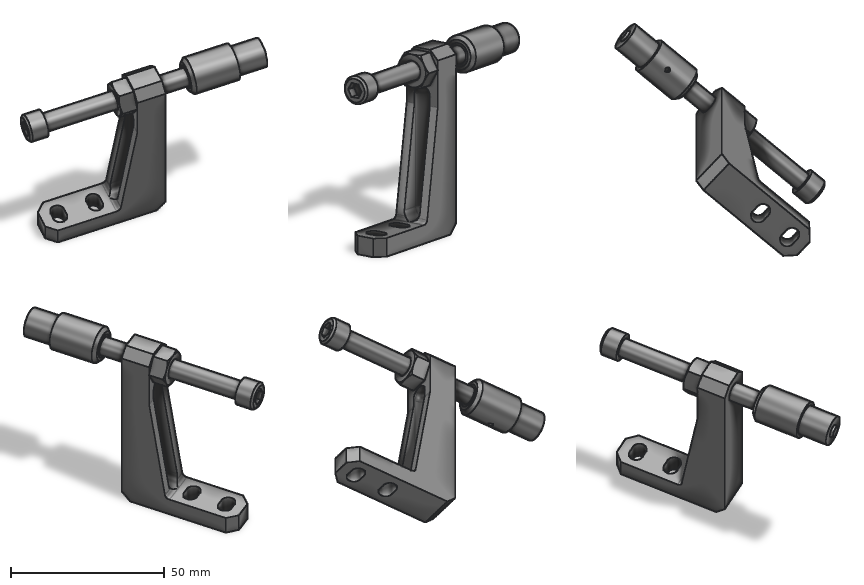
import cadquery as cq
import math


FLATS_OVER_CORNERS = math.cos(math.pi / 6)

WIDTH = 12.7
BRACKET_HEIGHT = 63.5
ARM_THICKNESS = 10.05
FOOT_LENGTH = 41.3
FOOT_THICKNESS = WIDTH / 2
CORNER_CHAMFER = WIDTH / 4
TAPER_DROP = 19.0
TAPER_FOOT_Y = -16.05
INNER_FILLET = 1.6
GROOVE_WIDTH = WIDTH / 2
GROOVE_FLOOR_Y = -6.3
GROOVE_TOP_Z = 50.8
SLOT_LENGTH = 7.1
SLOT_WIDTH = 4.7
SLOT_COUNT = 2
SLOT_PITCH = 12.7
FIRST_SLOT_Y = -22.55

SCREW_AXIS_DROP = 6.4
SCREW_AXIS_Z = BRACKET_HEIGHT - SCREW_AXIS_DROP
SHANK_RADIUS = WIDTH / 4
HEAD_RADIUS = 4.7
HEAD_HEIGHT = 6.3
HEAD_END_Y = -47.05
HEAD_CHAMFER = 0.8
SOCKET_FLATS = 4.7
SOCKET_DEPTH = 3.2

NUT_FLATS = 11.15
NUT_CORNERS = NUT_FLATS / FLATS_OVER_CORNERS
NUT_HEIGHT = 5.6
NUT_BORE_RADIUS = 3.4
NUT_CHAMFER_ANGLE = math.radians(30)

SLEEVE_START_Y = 9.7
SLEEVE_LENGTH = 16.65
SLEEVE_RADIUS = WIDTH / 2
SLEEVE_CHAMFER = 1.3
BUSHING_RADIUS = 4.0
SIDE_HOLE_RADIUS = 0.85
SIDE_HOLE_Y = 19.9
SIDE_HOLE_TILT = 19
TIP_RADIUS = 5.1
TIP_LENGTH = 10.1
NOSE_BASE_RADIUS = 2.2
NOSE_END_RADIUS = 1.8
NOSE_HEIGHT = 0.9
SLEEVE_END_Y = SLEEVE_START_Y + SLEEVE_LENGTH
TIP_END_Y = SLEEVE_END_Y + TIP_LENGTH


def axis_plane(y):
    """Plane across the screw axis at the given Y; extrusion runs toward +Y."""
    return cq.Workplane(cq.Plane((0, y, SCREW_AXIS_Z), xDir=(1, 0, 0), normal=(0, 1, 0)))


def rod(y_start, length, radius):
    return axis_plane(y_start).circle(radius).extrude(length)


def hexagon(y_start, length, flats):
    """Hexagonal bar with two corners pointing along X."""
    return axis_plane(y_start).polygon(6, flats / FLATS_OVER_CORNERS).extrude(length)


def make_groove():
    """Ball-ended groove up the front of the arm, with a half-round floor."""
    radius = GROOVE_WIDTH / 2
    center_y = GROOVE_FLOOR_Y - radius
    bottom = FOOT_THICKNESS + radius
    top = GROOVE_TOP_Z - radius
    floor = cq.Workplane("XY", origin=(0, center_y, bottom)).circle(radius).extrude(top - bottom)
    opening = (
        cq.Workplane("XZ", origin=(0, center_y, (bottom + top) / 2))
        .slot2D(top - bottom + 2 * radius, 2 * radius, angle=90)
        .extrude(FOOT_LENGTH)
    )
    groove = floor.union(opening)
    for z in (bottom, top):
        groove = groove.union(cq.Workplane("XY", origin=(0, center_y, z)).sphere(radius))
    return groove


def make_bracket():
    profile = [
        (0, 0),
        (0, BRACKET_HEIGHT),
        (-ARM_THICKNESS, BRACKET_HEIGHT),
        (-ARM_THICKNESS, BRACKET_HEIGHT - TAPER_DROP),
        (TAPER_FOOT_Y, FOOT_THICKNESS),
        (-FOOT_LENGTH, FOOT_THICKNESS),
        (-FOOT_LENGTH, 0),
    ]
    bracket = cq.Workplane("YZ").polyline(profile).close().extrude(WIDTH / 2, both=True)
    inner_corner = cq.selectors.NearestToPointSelector((0, TAPER_FOOT_Y, FOOT_THICKNESS))
    bracket = bracket.edges(inner_corner).fillet(INNER_FILLET)
    bracket = bracket.edges("<Z and >Y").chamfer(CORNER_CHAMFER)
    bracket = bracket.edges("<Y and |Z").chamfer(CORNER_CHAMFER)
    bracket = bracket.faces(">Z").edges("|Y").chamfer(CORNER_CHAMFER)

    slots = (
        cq.Workplane("XY")
        .pushPoints([(0, FIRST_SLOT_Y - i * SLOT_PITCH) for i in range(SLOT_COUNT)])
        .slot2D(SLOT_LENGTH, SLOT_WIDTH)
        .extrude(FOOT_THICKNESS)
    )
    screw_hole = rod(-ARM_THICKNESS, ARM_THICKNESS, SHANK_RADIUS)
    return bracket.cut(make_groove()).cut(slots).cut(screw_hole)


def make_screw():
    head = rod(HEAD_END_Y, HEAD_HEIGHT, HEAD_RADIUS).faces("<Y").edges().chamfer(HEAD_CHAMFER)
    head = head.cut(hexagon(HEAD_END_Y, SOCKET_DEPTH, SOCKET_FLATS))
    shank_start = HEAD_END_Y + HEAD_HEIGHT
    return head.union(rod(shank_start, SLEEVE_END_Y - shank_start, SHANK_RADIUS))


def make_nut():
    """Lock nut against the arm, its corners chamfered on the side facing the screw head."""
    front_y = -ARM_THICKNESS - NUT_HEIGHT
    corner_excess = (NUT_CORNERS - NUT_FLATS) / 2
    chamfer_envelope = (
        rod(front_y, NUT_HEIGHT, NUT_CORNERS / 2)
        .faces("<Y")
        .edges()
        .chamfer(corner_excess * math.tan(NUT_CHAMFER_ANGLE), corner_excess)
    )
    nut = hexagon(front_y, NUT_HEIGHT, NUT_FLATS).intersect(chamfer_envelope)
    return nut.cut(rod(front_y, NUT_HEIGHT, NUT_BORE_RADIUS))


def make_sleeve():
    sleeve = rod(SLEEVE_START_Y, SLEEVE_LENGTH, SLEEVE_RADIUS)
    sleeve = sleeve.faces("<Y").edges().chamfer(SLEEVE_CHAMFER)
    sleeve = sleeve.cut(rod(SLEEVE_START_Y, SLEEVE_LENGTH, BUSHING_RADIUS))
    tilt = math.radians(SIDE_HOLE_TILT)
    hole_plane = cq.Plane(
        (0, SIDE_HOLE_Y, SCREW_AXIS_Z), xDir=(0, 1, 0), normal=(-math.sin(tilt), 0, -math.cos(tilt))
    )
    return sleeve.cut(cq.Workplane(hole_plane).circle(SIDE_HOLE_RADIUS).extrude(SLEEVE_RADIUS))


def make_bushing():
    """Ring between the sleeve and the screw."""
    bushing = rod(SLEEVE_START_Y, SLEEVE_LENGTH, BUSHING_RADIUS)
    return bushing.cut(rod(SLEEVE_START_Y, SLEEVE_LENGTH, SHANK_RADIUS))


def make_tip():
    return rod(SLEEVE_END_Y, TIP_LENGTH, TIP_RADIUS)


def make_nose():
    """Small tapered button on the end of the tip."""
    base = axis_plane(TIP_END_Y).circle(NOSE_BASE_RADIUS)
    return base.workplane(offset=NOSE_HEIGHT).circle(NOSE_END_RADIUS).loft()


bracket = make_bracket()
screw = make_screw()
nut = make_nut()
sleeve = make_sleeve()
bushing = make_bushing()
tip = make_tip()
nose = make_nose()

result = cq.Compound.makeCompound([
    bracket.val(),
    screw.val(),
    nut.val(),
    sleeve.val(),
    bushing.val(),
    tip.val(),
    nose.val(),
])